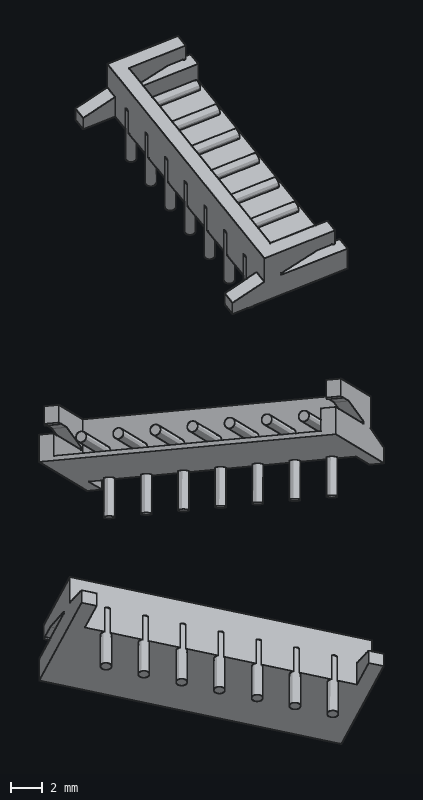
import cadquery as cq

length = 20.0
depth = 6.0
height = 3.8
wall = 1.0
floor_thickness = 0.3

ledge_height = 1.75
upper_arm_reach = 5.1
slot_end = 1.2
slot_end_height = 1.9
slot_top = 2.65
slot_slope_start = 3.8
barb_width = 0.22
barb_drop = 0.1
foot_reach = 2.3
foot_root_height = 1.75
foot_tip_height = 1.0

pin_count = 7
pin_pitch = 2.5
pin_diameter = 0.7
pin_drop = 2.5
pin_end = 5.1
pin_axis_y = 0.3
pin_axis_z = 1.6


def make_housing():
    """Floor plate with an upright wall along its front edge."""
    floor = cq.Workplane("XY").box(length, depth, floor_thickness, centered=(True, False, False))
    upright = cq.Workplane("XY").box(length, wall, height, centered=(True, False, False))
    return floor.union(upright)


def make_arm(start_x):
    """Side arm with a tapered slot, a small barb at the slot mouth and a sloping foot."""
    outline = [
        (-foot_reach, 0),
        (depth, 0),
        (depth, ledge_height),
        (slot_end, ledge_height),
        (slot_end, slot_end_height),
        (slot_slope_start, slot_top),
        (upper_arm_reach - barb_width, slot_top),
        (upper_arm_reach - barb_width / 2, slot_top - barb_drop),
        (upper_arm_reach, slot_top),
        (upper_arm_reach, height),
        (0, height),
        (0, foot_root_height),
        (-foot_reach, foot_tip_height),
    ]
    return cq.Workplane("YZ", origin=(start_x, 0, 0)).polyline(outline).close().extrude(wall)


def make_pin(x):
    """Round pin that rises beside the wall face and turns inward with a mitred corner."""
    path = (
        cq.Workplane("YZ", origin=(x, 0, 0))
        .moveTo(pin_axis_y, -pin_drop)
        .lineTo(pin_axis_y, pin_axis_z)
        .lineTo(pin_end, pin_axis_z)
    )
    section = cq.Workplane("XY", origin=(x, pin_axis_y, -pin_drop)).circle(pin_diameter / 2)
    return section.sweep(path, transition="right")


result = make_housing()
for arm_x in (-length / 2, length / 2 - wall):
    result = result.union(make_arm(arm_x))
for index in range(pin_count):
    pin_x = (index - (pin_count - 1) / 2) * pin_pitch
    result = result.union(make_pin(pin_x))